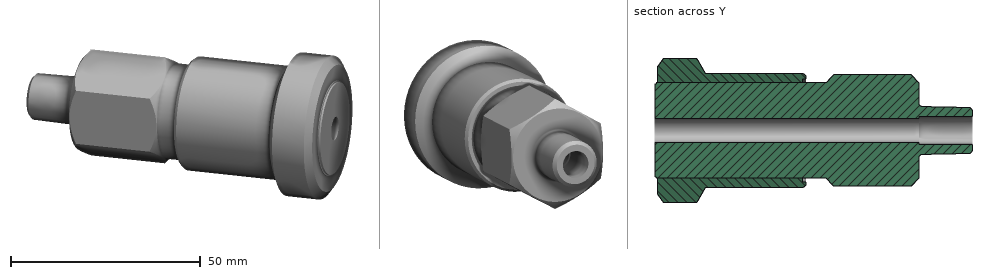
import cadquery as cq
import math

SPIGOT_CHAMFER_END = 0.8
HEX_START = 14.2
HEX_END = 38.6
SLEEVE_START = 43.9
SLEEVE_CHAMFER_END = 44.8
FLANGE_START = 70.4
FLANGE_RIM_START = 72.7
FLANGE_RIM_END = 81.5
SLEEVE_END = 83.1
TAIL_STEP = 83.3
LENGTH = 83.8

BORE_DIA = 6.3
COUNTERBORE_DIA = 7.1
COUNTERBORE_DEPTH = HEX_START
SPIGOT_TIP_DIA = 10.6
SPIGOT_FRONT_DIA = 12.3
SPIGOT_REAR_DIA = 12.8
SPIGOT_ROOT_RADIUS = 0.75
BARREL_DIA = 25.3
TAIL_DIA = 24.6

HEX_FLATS = 25.6
HEX_CORNERS = HEX_FLATS / math.cos(math.pi / 6)
HEX_FRONT_FACE_DIA = 25.0
HEX_REAR_FACE_DIA = 25.3
HEX_CHAMFER_LENGTH = 2.0

SLEEVE_DIA = 30.3
SLEEVE_NOSE_DIA = 28.9
SLEEVE_RECESS_DIA = 26.9
SLEEVE_RECESS_DEPTH = 0.8
FLANGE_DIA = 38.1
FLANGE_REAR_DIA = 33.7


def revolve_profile(stations):
    """Revolve (x, diameter) stations into a solid of revolution about the X axis."""
    outline = [(x, diameter / 2) for x, diameter in stations]
    axis_points = [(stations[-1][0], 0), (stations[0][0], 0)]
    return (
        cq.Workplane("XY")
        .polyline(outline + axis_points)
        .close()
        .revolve(360, (0, 0, 0), (1, 0, 0))
    )


def make_hexagon():
    """Hexagon with corners on +Z and -Z, its corners turned down by a cone at each end."""
    prism = (
        cq.Workplane("YZ", origin=(HEX_START, 0, 0))
        .transformed(rotate=(0, 0, 90))
        .polygon(6, HEX_CORNERS)
        .extrude(HEX_END - HEX_START)
    )
    turned_envelope = revolve_profile([
        (HEX_START, HEX_FRONT_FACE_DIA),
        (HEX_START + HEX_CHAMFER_LENGTH, HEX_CORNERS),
        (HEX_END - HEX_CHAMFER_LENGTH, HEX_CORNERS),
        (HEX_END, HEX_REAR_FACE_DIA),
    ])
    return prism.intersect(turned_envelope)


def make_spigot():
    """Slightly tapered spigot with a chamfered tip and a concave round at its root."""
    taper_end = HEX_START - SPIGOT_ROOT_RADIUS
    rear_radius = SPIGOT_REAR_DIA / 2
    arc_offset = SPIGOT_ROOT_RADIUS * math.sin(math.pi / 4)
    arc_centre_height = rear_radius + SPIGOT_ROOT_RADIUS
    return (
        cq.Workplane("XY")
        .moveTo(0, 0)
        .lineTo(0, SPIGOT_TIP_DIA / 2)
        .lineTo(SPIGOT_CHAMFER_END, SPIGOT_FRONT_DIA / 2)
        .lineTo(taper_end, rear_radius)
        .threePointArc(
            (taper_end + arc_offset, arc_centre_height - arc_offset),
            (HEX_START, arc_centre_height),
        )
        .lineTo(HEX_START, 0)
        .close()
        .revolve(360, (0, 0, 0), (1, 0, 0))
    )


def make_core():
    """Tapered spigot, hexagon and plain barrel with a stepped bore through the full length."""
    barrel = revolve_profile([
        (HEX_END, BARREL_DIA),
        (TAIL_STEP, BARREL_DIA),
        (TAIL_STEP, TAIL_DIA),
        (LENGTH, TAIL_DIA),
    ])
    bore = revolve_profile([
        (0, COUNTERBORE_DIA),
        (COUNTERBORE_DEPTH, COUNTERBORE_DIA),
        (COUNTERBORE_DEPTH, BORE_DIA),
        (LENGTH, BORE_DIA),
    ])
    return make_spigot().union(make_hexagon()).union(barrel).cut(bore)


def make_sleeve():
    """Flanged sleeve that fits around the barrel, with a shallow recess at its nose."""
    outside = revolve_profile([
        (SLEEVE_START, SLEEVE_NOSE_DIA),
        (SLEEVE_CHAMFER_END, SLEEVE_DIA),
        (FLANGE_START, SLEEVE_DIA),
        (FLANGE_RIM_START, FLANGE_DIA),
        (FLANGE_RIM_END, FLANGE_DIA),
        (SLEEVE_END, FLANGE_REAR_DIA),
    ])
    recess_end = SLEEVE_START + SLEEVE_RECESS_DEPTH
    barrel_hole = revolve_profile([
        (SLEEVE_START, SLEEVE_RECESS_DIA),
        (recess_end, SLEEVE_RECESS_DIA),
        (recess_end, BARREL_DIA),
        (SLEEVE_END, BARREL_DIA),
    ])
    return outside.cut(barrel_hole)


core = make_core()
sleeve = make_sleeve()

result = cq.Compound.makeCompound([core.val(), sleeve.val()])